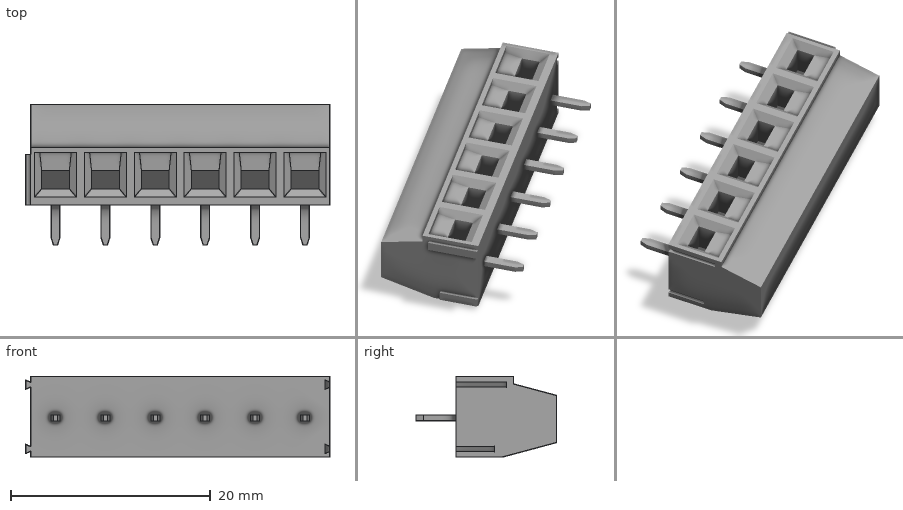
import cadquery as cq
import math

pole_count = 6
pitch = 5.0

housing_length = pole_count * pitch
housing_depth = 10.1
housing_height = 8.1
top_land_depth = 5.8
top_step = 0.75
bottom_land_depth = 4.65
rear_slope_angle = 15
rear_slope = math.tan(math.radians(rear_slope_angle))

funnel_mouth_width = 4.2
funnel_mouth_front = 0.8
funnel_mouth_back = 5.3
funnel_throat_width = 2.78
funnel_throat_front = 1.65
funnel_throat_back = 3.5
funnel_depth = 0.66
funnel_back_wall = 0.48

pin_width = 0.9
pin_thickness = 0.6
pin_length = 4.0
pin_tip_width = 0.4
pin_taper_length = 0.76
pin_z = 3.93

throat_floor_z = pin_z + pin_thickness / 2

dovetail_depth = 0.5
dovetail_root_width = 0.5
dovetail_tip_width = 0.95
dovetail_edge_distance = 0.83
upper_dovetail_length = 5.1
lower_dovetail_length = 3.9


def make_housing():
    """Side profile with two sloped rear faces, extruded along the row."""
    rear_top_z = housing_height - top_step - (housing_depth - top_land_depth) * rear_slope
    rear_bottom_z = (housing_depth - bottom_land_depth) * rear_slope
    profile = [
        (0, 0),
        (bottom_land_depth, 0),
        (housing_depth, rear_bottom_z),
        (housing_depth, rear_top_z),
        (top_land_depth, housing_height - top_step),
        (top_land_depth, housing_height),
        (0, housing_height),
    ]
    return cq.Workplane("YZ").polyline(profile).close().extrude(housing_length)


def make_funnel(center_x):
    """Tapered mouth with a shallow back ramp, leading into a straight throat."""
    mouth_depth = funnel_mouth_back - funnel_mouth_front
    throat_depth = funnel_throat_back - funnel_throat_front
    side_cut = (
        cq.Workplane("YZ", origin=(center_x - funnel_mouth_width / 2, 0, housing_height))
        .polyline([
            (funnel_mouth_front, 0),
            (funnel_throat_front, -funnel_depth),
            (funnel_throat_back, -funnel_depth),
            (funnel_mouth_back, -funnel_back_wall),
            (funnel_mouth_back, 0),
        ])
        .close()
        .extrude(funnel_mouth_width)
    )
    cross_cut = (
        cq.Workplane("XZ", origin=(center_x, funnel_mouth_front, housing_height))
        .polyline([
            (-funnel_mouth_width / 2, 0),
            (-funnel_throat_width / 2, -funnel_depth),
            (funnel_throat_width / 2, -funnel_depth),
            (funnel_mouth_width / 2, 0),
        ])
        .close()
        .extrude(-mouth_depth)
    )
    throat = (
        cq.Workplane("XY", origin=(center_x, funnel_throat_front + throat_depth / 2, throat_floor_z))
        .rect(funnel_throat_width, throat_depth)
        .extrude(housing_height - funnel_depth - throat_floor_z)
    )
    return side_cut.intersect(cross_cut).union(throat)


def make_pin(center_x):
    """Flat pin leaving the front face, tapered in width at its tip."""
    shank_end = -(pin_length - pin_taper_length)
    return (
        cq.Workplane("XY", origin=(center_x, 0, pin_z - pin_thickness / 2))
        .polyline([
            (-pin_width / 2, 0),
            (-pin_width / 2, shank_end),
            (-pin_tip_width / 2, -pin_length),
            (pin_tip_width / 2, -pin_length),
            (pin_width / 2, shank_end),
            (pin_width / 2, 0),
        ])
        .close()
        .extrude(pin_thickness)
    )


def make_dovetail(root_x, center_z, length):
    """Dovetail bar running back from the front face, widening toward -X."""
    tip_x = root_x - dovetail_depth
    return (
        cq.Workplane("XZ", origin=(0, 0, center_z))
        .polyline([
            (root_x, -dovetail_root_width / 2),
            (tip_x, -dovetail_tip_width / 2),
            (tip_x, dovetail_tip_width / 2),
            (root_x, dovetail_root_width / 2),
        ])
        .close()
        .extrude(-length)
    )


result = make_housing()

for pole in range(pole_count):
    pole_x = (pole + 0.5) * pitch
    result = result.cut(make_funnel(pole_x)).union(make_pin(pole_x))

dovetails = [
    (housing_height - dovetail_edge_distance, upper_dovetail_length),
    (dovetail_edge_distance, lower_dovetail_length),
]
for dovetail_z, dovetail_length in dovetails:
    result = result.union(make_dovetail(0, dovetail_z, dovetail_length))
    result = result.cut(make_dovetail(housing_length, dovetail_z, dovetail_length))